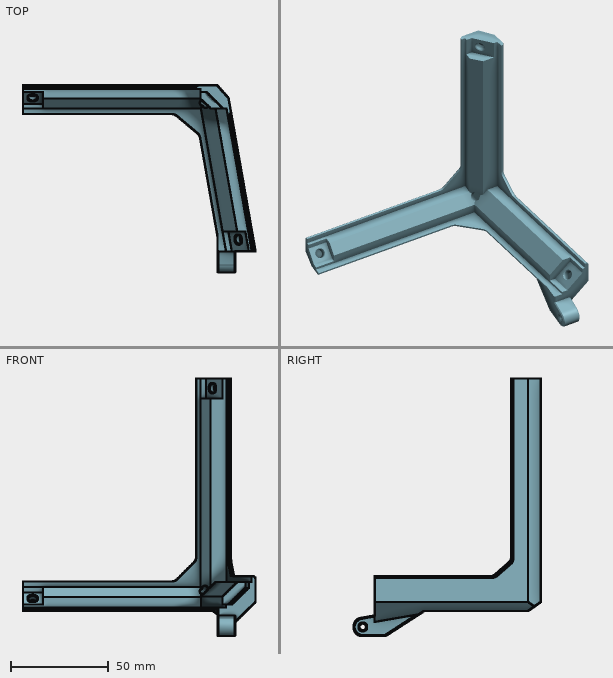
import cadquery as cq
import math

SKEW = 10.0
X_REACH = 104.0
Y_REACH = 85.0
Z_REACH = 119.0
OVERRUN = 4.0

WALL = 2.0
TIP_CHAMFER = WALL / 2
GUSSET_RADIUS = 4.0
REAR_TIP_X = 15.4
REAR_TIP_Z = 15.3
CROSS_TIP_Y = 14.9
SIDE_TIP = 17.9

BEVEL = 4.7
REAR_BEVEL = 6.7

CORE_DEPTH = 11.9
CORE_SHOULDER = 7.0
X_CORE_HEIGHT = 12.3
Z_CORE_WIDTH = 13.3
Z_CORE_SHOULDER = 8.0
Y_CORE = 14.9
Y_CORE_SHOULDER = 7.5

SEAT_LENGTH = 10.3
SEAT_WALL = 3.4
SEAT_HOLE_DIAMETER = 4.6
SEAT_HOLE_DEPTH = 3.5
SEAT_HOLE_MOUTH = 0.4
SEAT_HOLE_INSET = 5.0
Y_SEAT_HOLE_INSET = 6.0

CORNER_HOLE_DIAMETER = 4.6
CORNER_HOLE_DEPTH = 4.0

LUG_WIDTH = 9.2
LUG_RADIUS = 4.7
LUG_HOLE_DIAMETER = 3.4
LUG_DROP = 12.8
LUG_OVERHANG = 10.8
LUG_TOP_SLOPE = 10.0
LUG_CHAMFER = 0.5
LUG_ROOT_Y = -59.8
LUG_HEEL_Y = -79.6


def turned(solid):
    """Turn a part built square to the axes into the skewed direction of the Y arm."""
    return solid.rotate((0, 0, 0), (0, 0, 1), SKEW)


def prism_x(points_yz, x_start, x_end):
    return cq.Workplane("YZ", origin=(x_start, 0, 0)).polyline(points_yz).close().extrude(x_end - x_start)


def prism_y(points_xz, y_start, y_end):
    return cq.Workplane("XZ", origin=(0, y_end, 0)).polyline(points_xz).close().extrude(y_end - y_start)


def prism_z(points_xy, z_start, z_end):
    return cq.Workplane("XY", origin=(0, 0, z_start)).polyline(points_xy).close().extrude(z_end - z_start)


def skew_point(x, y):
    angle = math.radians(SKEW)
    return (x * math.cos(angle) - y * math.sin(angle), x * math.sin(angle) + y * math.cos(angle))


def finish_wall(plate, axis, outer_face, gusset_ends):
    """Round both ends of the gusset and bevel the outer rim."""
    for point in gusset_ends:
        plate = plate.edges(cq.selectors.NearestToPointSelector(point)).fillet(GUSSET_RADIUS)
    return plate.faces(outer_face).chamfer(TIP_CHAMFER)


def rear_wall():
    leg = 10.8
    low_end = (-REAR_TIP_X - leg, REAR_TIP_Z)
    high_end = (-REAR_TIP_X, REAR_TIP_Z + leg)
    outline = [
        (-X_REACH - OVERRUN, -OVERRUN),
        (OVERRUN, -OVERRUN),
        (OVERRUN, Z_REACH + OVERRUN),
        (-REAR_TIP_X, Z_REACH + OVERRUN),
        high_end,
        low_end,
        (-X_REACH - OVERRUN, REAR_TIP_Z),
    ]
    ends = [(x, -WALL / 2, z) for x, z in (low_end, high_end)]
    return finish_wall(prism_y(outline, -WALL, 0), "|Y", ">Y", ends)


def floor_wall():
    leg = 10.8
    y_arm_end = -Y_REACH - 2 * OVERRUN
    corner_x = -SIDE_TIP / math.cos(math.radians(SKEW)) + CROSS_TIP_Y * math.tan(math.radians(SKEW))
    away = skew_point(0, -leg)
    x_end = (corner_x - leg, -CROSS_TIP_Y)
    y_end = (corner_x + away[0], -CROSS_TIP_Y + away[1])
    outline = [
        (-X_REACH - OVERRUN, OVERRUN),
        skew_point(OVERRUN, OVERRUN),
        skew_point(OVERRUN, y_arm_end),
        skew_point(-SIDE_TIP, y_arm_end),
        y_end,
        x_end,
        (-X_REACH - OVERRUN, -CROSS_TIP_Y),
    ]
    ends = [(x, y, WALL / 2) for x, y in (x_end, y_end)]
    return finish_wall(prism_z(outline, 0, WALL), "|Z", "<Z", ends)


def side_wall():
    leg_y = 9.4
    leg_z = 8.0
    tip_y = CROSS_TIP_Y / math.cos(math.radians(SKEW))
    y_arm_end = -Y_REACH - 2 * OVERRUN
    low_end = (-tip_y - leg_y, SIDE_TIP)
    high_end = (-tip_y, SIDE_TIP + leg_z)
    outline = [
        (y_arm_end, -OVERRUN),
        (OVERRUN, -OVERRUN),
        (OVERRUN, Z_REACH + OVERRUN),
        (-tip_y, Z_REACH + OVERRUN),
        high_end,
        low_end,
        (y_arm_end, SIDE_TIP),
    ]
    ends = [(-WALL / 2, y, z) for y, z in (low_end, high_end)]
    return turned(finish_wall(prism_x(outline, -WALL, 0), "|X", ">X", ends))


def x_core():
    drop = CORE_DEPTH - CORE_SHOULDER
    outline = [
        (0, 0),
        (-CORE_DEPTH, 0),
        (-CORE_DEPTH, X_CORE_HEIGHT - drop),
        (-CORE_SHOULDER, X_CORE_HEIGHT),
        (0, X_CORE_HEIGHT),
    ]
    return prism_x(outline, -X_REACH, 0)


def y_core():
    outline = [
        (0, 0),
        (-Y_CORE, 0),
        (-Y_CORE, Y_CORE_SHOULDER),
        (-Y_CORE_SHOULDER, Y_CORE),
        (0, Y_CORE),
    ]
    return turned(prism_y(outline, -Y_REACH - 2 * OVERRUN, 0))


def z_core():
    outline = [
        (OVERRUN, 0),
        (-Z_CORE_WIDTH, 0),
        (-Z_CORE_WIDTH, -CORE_SHOULDER),
        (-Z_CORE_SHOULDER, -CORE_DEPTH),
        (OVERRUN, -CORE_DEPTH),
    ]
    return prism_z(outline, 0, Z_REACH)


def envelope():
    """Outer limits of the three arms, with the bevels along their outer edges."""
    footprint = [
        (-X_REACH, 0),
        (-BEVEL, 0),
        skew_point(0, -REAR_BEVEL),
        (Y_REACH * math.tan(math.radians(SKEW)), -Y_REACH),
        (-X_REACH, -Y_REACH),
    ]
    x_edge = prism_x([(0, 0), (-REAR_BEVEL, 0), (0, BEVEL)], -X_REACH, OVERRUN)
    y_edge = prism_y([(0, 0), (-BEVEL, 0), (0, BEVEL)], -Y_REACH - 2 * OVERRUN, OVERRUN)
    return prism_z(footprint, 0, Z_REACH).cut(x_edge).cut(turned(y_edge))


def seat_hole(center, outward):
    """Blind hole with a bevelled mouth, sunk against the outward direction."""
    radius = SEAT_HOLE_DIAMETER / 2
    start = cq.Vector(*center)
    inward = cq.Vector(*outward) * -1
    bore = cq.Solid.makeCylinder(radius, SEAT_HOLE_DEPTH, start, inward)
    mouth = cq.Solid.makeCone(radius + SEAT_HOLE_MOUTH, radius, SEAT_HOLE_MOUTH, start, inward)
    return cq.Workplane(bore.fuse(mouth))


def x_seat():
    high = 9.6
    outline = [
        (-SEAT_WALL, 2 * CORE_DEPTH),
        (-SEAT_WALL, high),
        (-high, SEAT_WALL),
        (-2 * CORE_DEPTH, SEAT_WALL),
        (-2 * CORE_DEPTH, 2 * CORE_DEPTH),
    ]
    middle = (SEAT_WALL + high) / 2
    hole = seat_hole((-X_REACH + SEAT_HOLE_INSET, -middle, middle), (0, -1, 1))
    return prism_x(outline, -X_REACH, -X_REACH + SEAT_LENGTH).union(hole)


def z_seat():
    near = 1.8
    far = near + CORE_DEPTH - SEAT_WALL
    outline = [
        (-2 * Z_CORE_WIDTH, -SEAT_WALL),
        (-far, -SEAT_WALL),
        (-near, -CORE_DEPTH),
        (-2 * Z_CORE_WIDTH, -CORE_DEPTH),
    ]
    hole_y = 6.6
    hole_x = far + SEAT_WALL - hole_y
    hole = seat_hole((-hole_x, -hole_y, Z_REACH - SEAT_HOLE_INSET), (-1, -1, 0))
    return prism_z(outline, Z_REACH - SEAT_LENGTH, Z_REACH).union(hole)


def y_seat():
    high = 12.0
    outline = [
        (-SEAT_WALL, 2 * Y_CORE),
        (-SEAT_WALL, high),
        (-high, SEAT_WALL),
        (-2 * Y_CORE, SEAT_WALL),
        (-2 * Y_CORE, 2 * Y_CORE),
    ]
    middle = (SEAT_WALL + high) / 2
    seat = turned(prism_y(outline, -Y_REACH - 2 * OVERRUN, 0))
    slab = cq.Workplane().box(263.5, SEAT_LENGTH, 263.5).translate((0, -Y_REACH + SEAT_LENGTH / 2, 0))
    along = (Y_REACH - Y_SEAT_HOLE_INSET - middle * math.sin(math.radians(SKEW))) / math.cos(math.radians(SKEW))
    hole = turned(seat_hole((-middle, -along, middle), (-1, 0, 1)))
    return seat.intersect(slab).union(hole)


def corner_hole():
    axis = cq.Vector(1.3, 1.3, -1.3)
    start = cq.Vector(-10.8, -9.1, 10.1) - axis * 5
    length = CORNER_HOLE_DEPTH + 6.6 * math.sqrt(3)
    return cq.Workplane(cq.Solid.makeCylinder(CORNER_HOLE_DIAMETER / 2, length, start, axis))


def lug_profile(width):
    """Side shape of the lug, centred on x = 0."""
    slope = math.radians(LUG_TOP_SLOPE)
    pin_y = -Y_REACH - LUG_OVERHANG + LUG_RADIUS
    pin_z = -LUG_DROP + LUG_RADIUS
    tangent_y = pin_y - LUG_RADIUS * math.sin(slope)
    tangent_z = pin_z + LUG_RADIUS * math.cos(slope)
    top_z = tangent_z + (-Y_REACH - tangent_y) * math.tan(slope)
    return (
        cq.Workplane("YZ", origin=(-width / 2, 0, 0))
        .moveTo(LUG_ROOT_Y, WALL)
        .lineTo(LUG_ROOT_Y, 0)
        .lineTo(LUG_HEEL_Y, -LUG_DROP)
        .lineTo(pin_y, -LUG_DROP)
        .threePointArc((pin_y - LUG_RADIUS, pin_z), (tangent_y, tangent_z))
        .lineTo(-Y_REACH, top_z)
        .lineTo(-Y_REACH, WALL)
        .close()
        .extrude(width)
        .cut(
            cq.Workplane("YZ", origin=(-width / 2, 0, 0))
            .center(pin_y, pin_z)
            .circle(LUG_HOLE_DIAMETER / 2)
            .extrude(width)
        )
    )


def lug():
    plate = lug_profile(LUG_WIDTH)
    plate = plate.faces("<X or >X").edges("not >Z").chamfer(LUG_CHAMFER)
    left = -SIDE_TIP
    right = -BEVEL + TIP_CHAMFER
    half = (right - left) / 2
    keel_outline = [(left, TIP_CHAMFER), (right, TIP_CHAMFER), (left + half, TIP_CHAMFER - half)]
    keel = turned(prism_y(keel_outline, -Y_REACH - 2 * OVERRUN, 0))
    behind_end = cq.Workplane().box(263.5, Y_REACH, 263.5).translate((0, -Y_REACH / 2, 0))
    keel = keel.intersect(lug_profile(131.8)).intersect(behind_end)
    return plate.union(keel)


arms = rear_wall().union(floor_wall()).union(side_wall())
arms = arms.union(x_core()).union(y_core()).union(z_core())
arms = arms.intersect(envelope())
for pocket in (x_seat(), y_seat(), z_seat(), corner_hole()):
    arms = arms.cut(pocket)
result = arms.union(lug())